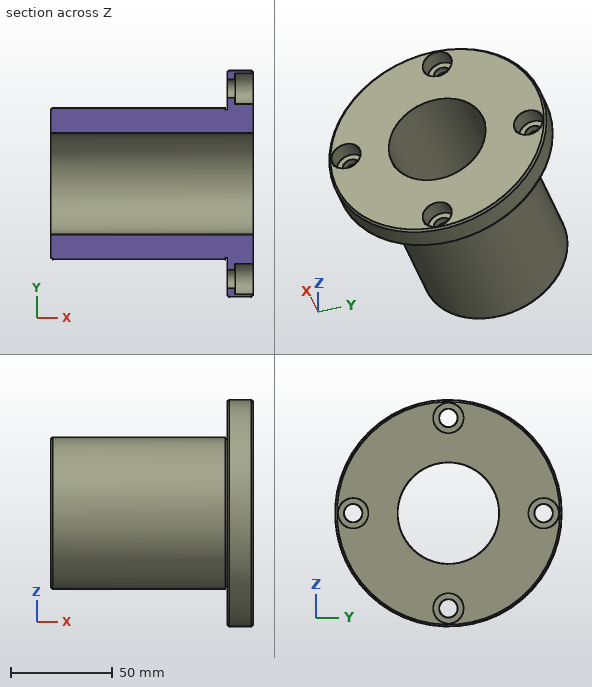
import cadquery as cq

total_length = 100.0
flange_diameter = 112.0
flange_thickness = 13.0
sleeve_diameter = 75.0
bore_diameter = 50.0
edge_chamfer = 1.0

hole_count = 4
hole_diameter = 9.0
hole_circle_diameter = 94.0
counterbore_diameter = 15.0
counterbore_depth = 9.0

relief_width = 0.8
relief_depth = 0.9

sleeve_length = total_length - flange_thickness


def make_sleeve():
    """Plain cylinder with a chamfered free end, starting at X = 0."""
    sleeve = cq.Workplane("YZ").circle(sleeve_diameter / 2).extrude(total_length)
    return sleeve.faces("<X").edges().chamfer(edge_chamfer)


def make_flange():
    """Round flange with both rims chamfered and counterbored holes on a bolt circle."""
    flange = (
        cq.Workplane("YZ", origin=(sleeve_length, 0, 0))
        .circle(flange_diameter / 2)
        .extrude(flange_thickness)
        .edges()
        .chamfer(edge_chamfer)
    )
    return (
        flange.faces(">X")
        .workplane(origin=(total_length, 0, 0))
        .polarArray(hole_circle_diameter / 2, 0, 360, hole_count)
        .cboreHole(hole_diameter, counterbore_diameter, counterbore_depth)
    )


def make_relief():
    """Ring of material removed from the sleeve next to the flange."""
    return (
        cq.Workplane("YZ", origin=(sleeve_length - relief_width, 0, 0))
        .circle(sleeve_diameter / 2)
        .circle(sleeve_diameter / 2 - relief_depth)
        .extrude(relief_width)
    )


bore = cq.Workplane("YZ").circle(bore_diameter / 2).extrude(total_length)
result = make_sleeve().union(make_flange()).cut(make_relief()).cut(bore)